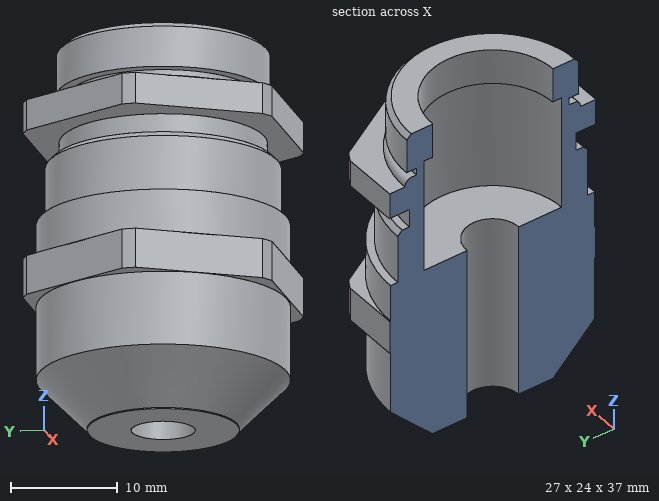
import cadquery as cq
import math

HEIGHT = 37.0

CAP_DIAMETER = 23.82
CAP_TIP_DIAMETER = 14.28
CAP_LIP_HEIGHT = 0.1
CAP_CONE_TOP = CAP_LIP_HEIGHT + (CAP_DIAMETER - CAP_TIP_DIAMETER) / 2
CAP_TOP = 20.0

SHOULDER_DIAMETER = 22.15
SHOULDER_TOP = 26.0
NECK_DIAMETER = 19.5
UNDERCUT_DIAMETER = 17.83
THREAD_DIAMETER = 20.05
THREAD_BOTTOM = 32.55
EDGE_CHAMFER = 0.5

HEX_FLATS = 24.0
HEX_CORNERS = 27.0
LOWER_HEX_BOTTOM = 12.0
LOWER_HEX_TOP = 15.8
UPPER_HEX_BOTTOM = 28.0
UPPER_HEX_TOP = 31.0

RING_DIAMETER = 20.5
RING_HEIGHT = 0.8

OPENING_DIAMETER = 14.0
OPENING_DEPTH = 4.0
CHAMBER_DIAMETER = 15.98
CHAMBER_FLOOR = CAP_TOP
CABLE_HOLE_DIAMETER = 6.0


def cylinder(diameter, bottom, top):
    """Upright cylinder on the gland axis."""
    base = cq.Workplane("XY").workplane(offset=bottom)
    return base.circle(diameter / 2).extrude(top - bottom)


def chamfered_cylinder(diameter, bottom, top):
    """Upright cylinder with a chamfered top edge."""
    return cylinder(diameter, bottom, top).faces(">Z").chamfer(EDGE_CHAMFER)


def spanner_hexagon(bottom, top):
    """Hexagon with two flats facing along Y and its corners turned to a cylinder."""
    sharp_corners = HEX_FLATS / math.cos(math.pi / 6)
    base = cq.Workplane("XY").workplane(offset=bottom)
    blank = base.polygon(6, sharp_corners).extrude(top - bottom)
    return blank.intersect(cylinder(HEX_CORNERS, bottom, top))


def clamping_cap():
    """Solid of revolution for the cap, from its lip to the top of its wall."""
    cap_radius = CAP_DIAMETER / 2
    tip_radius = CAP_TIP_DIAMETER / 2
    profile = [
        (0, 0),
        (tip_radius, 0),
        (tip_radius, CAP_LIP_HEIGHT),
        (cap_radius, CAP_CONE_TOP),
        (cap_radius, CAP_TOP),
        (0, CAP_TOP),
    ]
    return cq.Workplane("XZ").polyline(profile).close().revolve(360, (0, 0), (0, 1))


def sealing_ring():
    """Disc rooted in the upper hexagon; the part standing proud is a quarter round."""
    disc = cylinder(RING_DIAMETER, UPPER_HEX_BOTTOM, UPPER_HEX_TOP + RING_HEIGHT)
    return disc.faces(">Z").edges().fillet(RING_HEIGHT)


def interior():
    """Everything removed along the axis."""
    opening_bottom = HEIGHT - OPENING_DEPTH
    opening = cylinder(OPENING_DIAMETER, opening_bottom, HEIGHT)
    chamber = cylinder(CHAMBER_DIAMETER, CHAMBER_FLOOR, opening_bottom)
    cable_hole = cylinder(CABLE_HOLE_DIAMETER, 0, CHAMBER_FLOOR)
    return opening.union(chamber).union(cable_hole)


outside = (
    clamping_cap()
    .union(spanner_hexagon(LOWER_HEX_BOTTOM, LOWER_HEX_TOP))
    .union(chamfered_cylinder(SHOULDER_DIAMETER, CAP_TOP, SHOULDER_TOP))
    .union(cylinder(NECK_DIAMETER, SHOULDER_TOP, UPPER_HEX_BOTTOM))
    .union(spanner_hexagon(UPPER_HEX_BOTTOM, UPPER_HEX_TOP))
    .union(cylinder(UNDERCUT_DIAMETER, UPPER_HEX_TOP, THREAD_BOTTOM))
    .union(sealing_ring())
    .union(chamfered_cylinder(THREAD_DIAMETER, THREAD_BOTTOM, HEIGHT))
)

result = outside.cut(interior())